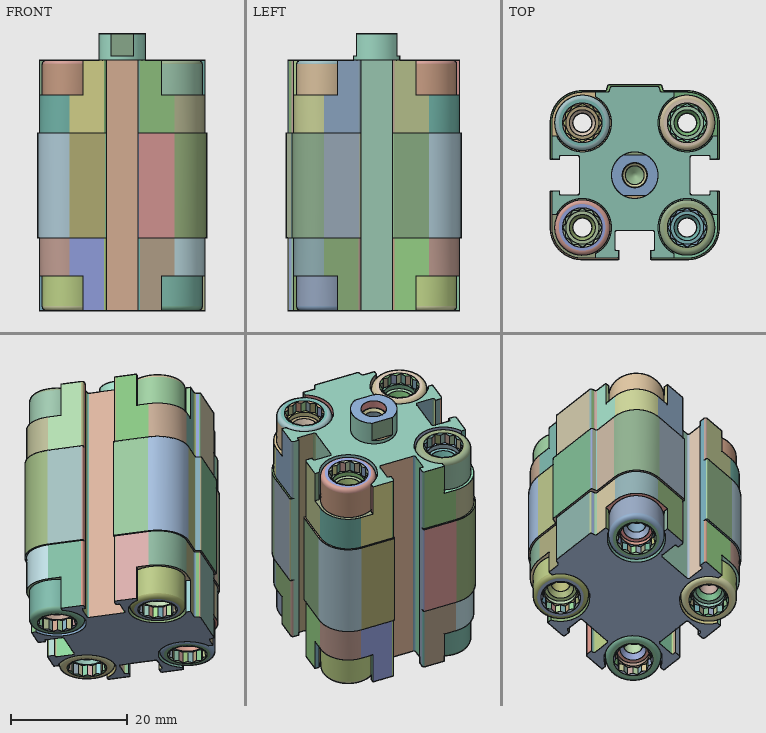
import cadquery as cq
import math

CAP_LENGTH = 12.5
BARREL_LENGTH = 18.0
HOUSING_LENGTH = 2 * CAP_LENGTH + BARREL_LENGTH
OVERALL_LENGTH = 47.5

BARREL_WIDTH = 29.0
HALF_WIDTH = BARREL_WIDTH / 2
CAP_STEP = 0.3
SCREW_OFFSET = 9.0
CORNER_RADIUS = HALF_WIDTH - SCREW_OFFSET

PAD_HEIGHT = 1.0
PAD_TOP_HALF_WIDTH = 4.6
PAD_BASE_HALF_WIDTH = 4.9
PAD_EDGE_RADIUS = 0.3
PAD_ROOT_RADIUS = 0.15
PAD_CAP_SIDE_STEP = 0.48

SLOT_MOUTH_WIDTH = 5.4
SLOT_WIDTH = 6.75
SLOT_FLOOR = 9.5
SLOT_LIP = 1.6
SLOT_FLOOR_RADIUS = 0.35
SLOT_LIP_ROOT_RADIUS = 0.2
CAP_LIP_RADIUS = 0.4
BARREL_LIP_RADIUS = 0.2

POCKET_DEPTH = 6.0
POCKET_DIAMETER = 9.98
POCKET_EDGE = 2.25
HEAD_DIAMETER = 9.5
HEAD_FACE_DIAMETER = 8.0
HEAD_EDGE_RADIUS = (HEAD_DIAMETER - HEAD_FACE_DIAMETER) / 2
SOCKET_POINTS = 12
SOCKET_VALLEY_DIAMETER = 6.0
SOCKET_TIP_DIAMETER = SOCKET_VALLEY_DIAMETER * math.cos(math.pi / 12) / math.cos(math.pi / 6)
SOCKET_MOUTH_DIAMETER = 6.8
SOCKET_MOUTH_DEPTH = 0.2
SOCKET_DEPTH = 2.1
SOCKET_BORE_DIAMETER = 5.7
SOCKET_BORE_DEPTH = 3.0
SCREW_HOLE_DIAMETER = 3.25
SCREW_HOLE_MOUTH_DIAMETER = 4.45
SCREW_HOLE_MOUTH_DEPTH = 1.15

ROD_DIAMETER = 8.0
ROD_SEAT_DEPTH = CAP_LENGTH
ROD_FLAT_WIDTH = 7.0
ROD_FLAT_LENGTH = 3.8
ROD_BORE_DIAMETER = 4.3
ROD_BORE_DEPTH = 1.5
ROD_CONE_DIAMETER = 4.15
ROD_HOLE_DIAMETER = 3.25
ROD_CONE_DEPTH = (ROD_CONE_DIAMETER - ROD_HOLE_DIAMETER) / 2
ROD_HOLE_DEPTH = 9.5
DRILL_POINT_ANGLE = 118.0


def extruded_body(inset, pad_side_inset, bottom, length):
    """Rounded square with the +Y pad, set in by `inset` all round and at the pad's sides."""
    side = BARREL_WIDTH - 2 * inset
    block = (
        cq.Workplane("XY", origin=(0, 0, bottom))
        .rect(side, side)
        .extrude(length)
        .edges("|Z")
        .fillet(CORNER_RADIUS - inset)
    )
    face = HALF_WIDTH - inset
    base_half_width = PAD_BASE_HALF_WIDTH - pad_side_inset
    top_half_width = PAD_TOP_HALF_WIDTH - pad_side_inset
    pad = (
        cq.Workplane("XY", origin=(0, 0, bottom))
        .polyline(
            [
                (-base_half_width, 0),
                (-base_half_width, face),
                (-top_half_width, face + PAD_HEIGHT),
                (top_half_width, face + PAD_HEIGHT),
                (base_half_width, face),
                (base_half_width, 0),
            ]
        )
        .close()
        .extrude(length)
        .edges("|Z and >Y")
        .fillet(PAD_EDGE_RADIUS)
    )
    body = block.union(pad)
    for side_x in (-base_half_width, base_half_width):
        root = cq.NearestToPointSelector((side_x, face, bottom + length / 2))
        body = body.edges("|Z").edges(root).fillet(PAD_ROOT_RADIUS + inset)
    return body


def slot_cutter(face_distance, lip_radius, bottom, length):
    """T-slot opening towards -Y through a face at `face_distance` from the axis."""
    lip_inside = HALF_WIDTH - SLOT_LIP
    mouth = SLOT_MOUTH_WIDTH / 2
    neck = (
        cq.Workplane("XY", origin=(0, 0, bottom))
        .moveTo(-mouth, -SLOT_FLOOR)
        .lineTo(-mouth, -face_distance + lip_radius)
        .radiusArc((-mouth - lip_radius, -face_distance), lip_radius)
        .lineTo(mouth + lip_radius, -face_distance)
        .radiusArc((mouth, -face_distance + lip_radius), lip_radius)
        .lineTo(mouth, -SLOT_FLOOR)
        .close()
        .extrude(length)
    )
    channel = (
        cq.Workplane("XY", origin=(0, 0, bottom))
        .center(0, -(SLOT_FLOOR + lip_inside) / 2)
        .rect(SLOT_WIDTH, lip_inside - SLOT_FLOOR)
        .extrude(length)
        .edges("|Z and >Y")
        .fillet(SLOT_FLOOR_RADIUS)
        .edges("|Z and <Y")
        .fillet(SLOT_LIP_ROOT_RADIUS)
    )
    return neck.union(channel)


def slotted_section(inset, pad_side_inset, lip_radius, bottom, length):
    """One length of the housing with its three T-slots."""
    section = extruded_body(inset, pad_side_inset, bottom, length)
    slot = slot_cutter(HALF_WIDTH - inset, lip_radius, bottom, length)
    for turn in (-90, 0, 90):
        section = section.cut(slot.rotate((0, 0, 0), (0, 0, 1), turn))
    return section


def pocket_cutter():
    """Material cleared around a screw head at the -X, -Y corner of the top face."""
    reach = CORNER_RADIUS
    bottom = HOUSING_LENGTH - POCKET_DEPTH
    ring = (
        cq.Workplane("XY", origin=(-SCREW_OFFSET, -SCREW_OFFSET, bottom))
        .circle(POCKET_DIAMETER / 2)
        .extrude(POCKET_DEPTH)
    )
    corner = (
        cq.Workplane("XY", origin=(-SCREW_OFFSET, -SCREW_OFFSET, bottom))
        .center((POCKET_EDGE - reach) / 2, (POCKET_EDGE - reach) / 2)
        .rect(POCKET_EDGE + reach, POCKET_EDGE + reach)
        .extrude(POCKET_DEPTH)
    )
    return ring.union(corner)


def screw_head():
    """Round head with a twelve-point socket, standing in the pocket of the -X, -Y corner."""
    head = (
        cq.Workplane("XY", origin=(0, 0, HOUSING_LENGTH - POCKET_DEPTH))
        .circle(HEAD_DIAMETER / 2)
        .extrude(POCKET_DEPTH)
        .faces(">Z")
        .edges()
        .fillet(HEAD_EDGE_RADIUS)
    )
    star_points = []
    for index in range(2 * SOCKET_POINTS):
        radius = (SOCKET_VALLEY_DIAMETER if index % 2 else SOCKET_TIP_DIAMETER) / 2
        angle = index * math.pi / SOCKET_POINTS
        star_points.append((radius * math.cos(angle), radius * math.sin(angle)))
    star = (
        cq.Workplane("XY", origin=(0, 0, HOUSING_LENGTH - SOCKET_DEPTH))
        .polyline(star_points)
        .close()
        .extrude(SOCKET_DEPTH)
    )
    mouth_slope = SOCKET_MOUTH_DEPTH / (SOCKET_MOUTH_DIAMETER - SOCKET_VALLEY_DIAMETER)
    mouth = (
        cq.Workplane("XZ")
        .polyline(
            [
                (0, HOUSING_LENGTH),
                (SOCKET_MOUTH_DIAMETER / 2, HOUSING_LENGTH),
                (0, HOUSING_LENGTH - mouth_slope * SOCKET_MOUTH_DIAMETER),
            ]
        )
        .close()
        .revolve(360, (0, 0, 0), (0, 1, 0))
    )
    head = head.cut(star).cut(mouth)
    return head.translate((-SCREW_OFFSET, -SCREW_OFFSET, 0))


def screw_bore_cutter():
    """Stepped bore below the socket, narrowing to the through hole, down to mid-length."""
    bore_floor = HOUSING_LENGTH - SOCKET_BORE_DEPTH
    return (
        cq.Workplane("XZ")
        .polyline(
            [
                (0, HOUSING_LENGTH),
                (SOCKET_BORE_DIAMETER / 2, HOUSING_LENGTH),
                (SOCKET_BORE_DIAMETER / 2, bore_floor),
                (SCREW_HOLE_MOUTH_DIAMETER / 2, bore_floor),
                (SCREW_HOLE_DIAMETER / 2, bore_floor - SCREW_HOLE_MOUTH_DEPTH),
                (SCREW_HOLE_DIAMETER / 2, HOUSING_LENGTH / 2),
                (0, HOUSING_LENGTH / 2),
            ]
        )
        .close()
        .revolve(360, (0, 0, 0), (0, 1, 0))
        .translate((-SCREW_OFFSET, -SCREW_OFFSET, 0))
    )


def at_all_corners(shape):
    """Copies of a -X, -Y top corner shape at all four corners of both ends."""
    middle = (0, 0, HOUSING_LENGTH / 2)
    top_corners = [shape.rotate((0, 0, 0), (0, 0, 1), turn) for turn in (0, 90, 180, 270)]
    bottom_corners = [corner.mirror("XY", middle) for corner in top_corners]
    return top_corners + bottom_corners


def make_housing():
    """Stepped barrel with T-slots, screw corners and the rod seat."""
    upper_cap_bottom = CAP_LENGTH + BARREL_LENGTH
    housing = slotted_section(0, 0, BARREL_LIP_RADIUS, CAP_LENGTH, BARREL_LENGTH)
    for cap_bottom in (0, upper_cap_bottom):
        cap = slotted_section(CAP_STEP, PAD_CAP_SIDE_STEP, CAP_LIP_RADIUS, cap_bottom, CAP_LENGTH)
        housing = housing.union(cap)
    for pocket in at_all_corners(pocket_cutter()):
        housing = housing.cut(pocket)
    for head in at_all_corners(screw_head()):
        housing = housing.union(head)
    for bore in at_all_corners(screw_bore_cutter()):
        housing = housing.cut(bore)
    rod_seat = (
        cq.Workplane("XY", origin=(0, 0, HOUSING_LENGTH - ROD_SEAT_DEPTH))
        .circle(ROD_DIAMETER / 2)
        .extrude(ROD_SEAT_DEPTH)
    )
    return housing.cut(rod_seat)


def make_piston_rod():
    """Round rod with two wrench flats and a stepped blind hole in its end."""
    rod_bottom = HOUSING_LENGTH - ROD_SEAT_DEPTH
    rod = (
        cq.Workplane("XY", origin=(0, 0, rod_bottom))
        .circle(ROD_DIAMETER / 2)
        .extrude(OVERALL_LENGTH - rod_bottom)
    )
    flat_limit = (
        cq.Workplane("XY", origin=(0, 0, OVERALL_LENGTH - ROD_FLAT_LENGTH))
        .rect(2 * ROD_DIAMETER, 2 * ROD_DIAMETER)
        .rect(2 * ROD_DIAMETER, ROD_FLAT_WIDTH)
        .extrude(ROD_FLAT_LENGTH)
    )
    bore_floor = OVERALL_LENGTH - ROD_BORE_DEPTH
    drill_point = ROD_HOLE_DIAMETER / 2 / math.tan(math.radians(DRILL_POINT_ANGLE / 2))
    hole = (
        cq.Workplane("XZ")
        .polyline(
            [
                (0, OVERALL_LENGTH),
                (ROD_BORE_DIAMETER / 2, OVERALL_LENGTH),
                (ROD_BORE_DIAMETER / 2, bore_floor),
                (ROD_CONE_DIAMETER / 2, bore_floor),
                (ROD_HOLE_DIAMETER / 2, bore_floor - ROD_CONE_DEPTH),
                (ROD_HOLE_DIAMETER / 2, OVERALL_LENGTH - ROD_HOLE_DEPTH),
                (0, OVERALL_LENGTH - ROD_HOLE_DEPTH - drill_point),
            ]
        )
        .close()
        .revolve(360, (0, 0, 0), (0, 1, 0))
    )
    return rod.cut(flat_limit).cut(hole)


housing = make_housing()
piston_rod = make_piston_rod()

result = cq.Compound.makeCompound([housing.val(), piston_rod.val()])